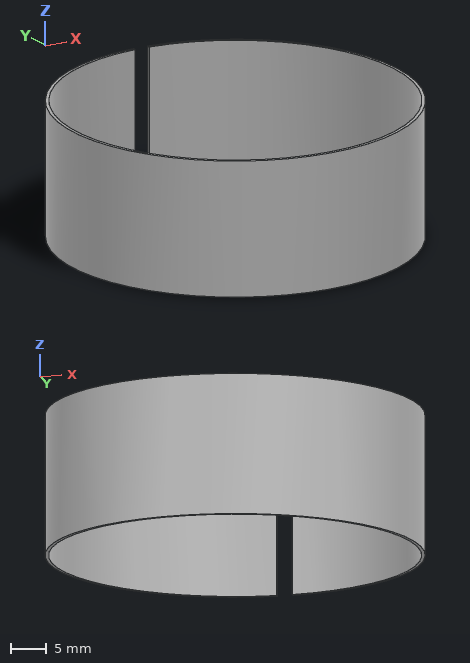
import cadquery as cq
import math

outer_diameter = 52.95
wall = 0.5
height = 20.0
gap_angle = 5.0

outer_radius = outer_diameter / 2
inner_radius = outer_radius - wall


def ring_point(radius, angle):
    """Point at an angle in degrees, clockwise from +Y."""
    turn = math.radians(angle)
    return (radius * math.sin(turn), radius * math.cos(turn))


band_start = gap_angle
band_end = 360.0
band_middle = (band_start + band_end) / 2

result = (
    cq.Workplane("XY")
    .moveTo(*ring_point(outer_radius, band_start))
    .threePointArc(ring_point(outer_radius, band_middle), ring_point(outer_radius, band_end))
    .lineTo(*ring_point(inner_radius, band_end))
    .threePointArc(ring_point(inner_radius, band_middle), ring_point(inner_radius, band_start))
    .close()
    .extrude(height)
)